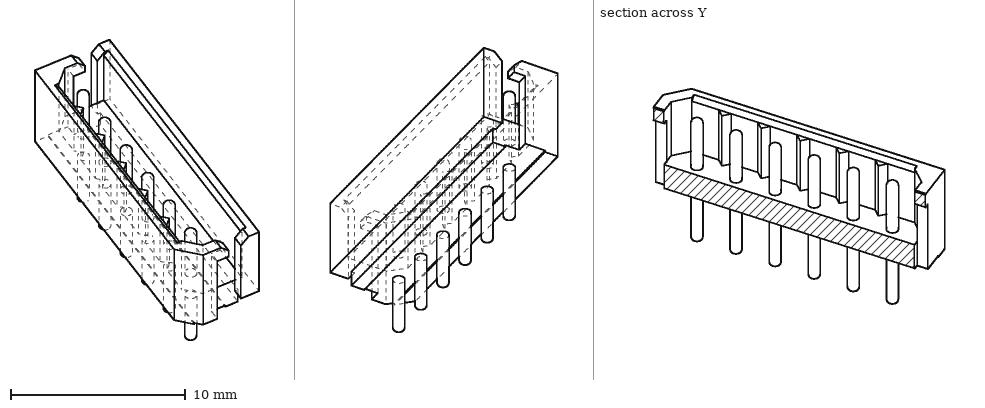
import cadquery as cq

length = 17.4
depth = 4.9
height = 5.9

end_wall = 0.7
front_wall = 0.7
floor_top = 1.9
floor_depth = 3.9
back_wall_inner = 4.14
back_wall_bottom = 1.0
back_lip_inner = 3.7
wall_bevel = 0.28
cavity_corner = 0.89
key_corner = 1.22

slot_front = 2.15
hook_tip = 2.9
hook_height = 1.0
entry_bevel = 0.5

channel_start = 0.85
channel_end = 3.06
channel_depth = 0.1

rib_width = 0.8
rib_depth = rib_width / 2

pin_count = 6
pin_row_span = 12.5
pin_diameter = 0.7
pin_y = 1.8
overall_height = 9.4
pin_tip_recess = 0.52
pin_rounding = 0.21

pin_pitch = pin_row_span / (pin_count - 1)
pin_top = height - pin_tip_recess
pin_bottom = height - overall_height
first_pin_x = (length - pin_row_span) / 2
inner_length = length - 2 * end_wall


def extrude_x(points, start, distance):
    """Extrude a (y, z) profile along X."""
    return cq.Workplane("YZ").workplane(offset=start).polyline(points).close().extrude(distance)


def extrude_z(points, bottom, top):
    """Extrude an (x, y) outline from one height up to another."""
    return cq.Workplane("XY").workplane(offset=bottom).polyline(points).close().extrude(top - bottom)


def make_body():
    """Full-length front and back walls, joined by the shorter floor."""
    front = extrude_x(
        [
            (0, 0),
            (slot_front, 0),
            (slot_front, height - hook_height),
            (hook_tip, height - hook_height),
            (hook_tip, height - entry_bevel),
            (hook_tip - entry_bevel, height),
            (0, height),
        ],
        0,
        length,
    )
    back = extrude_x(
        [
            (back_lip_inner, back_wall_bottom),
            (depth, back_wall_bottom),
            (depth, height),
            (back_lip_inner + entry_bevel, height),
            (back_lip_inner, height - entry_bevel),
        ],
        0,
        length,
    )
    floor = cq.Workplane("XY").box(inner_length, floor_depth, floor_top, centered=False)
    floor_joint = cq.Workplane("XY").box(
        inner_length, depth - floor_depth, floor_top - back_wall_bottom, centered=False
    )
    floor_joint = floor_joint.translate((0, floor_depth, back_wall_bottom))
    return front.union(back).union(floor.union(floor_joint).translate((end_wall, 0, 0)))


def make_cavity():
    """Open-topped cavity with angled front corners and beveled long edges."""
    left = end_wall
    right = length - end_wall
    cavity = extrude_z(
        [
            (left, back_wall_inner),
            (left, front_wall + cavity_corner),
            (left + cavity_corner, front_wall),
            (right - cavity_corner, front_wall),
            (right, front_wall + cavity_corner),
            (right, back_wall_inner),
        ],
        floor_top,
        height,
    )
    bevel_bottom = height - wall_bevel
    back_bevel = extrude_x(
        [
            (back_wall_inner, bevel_bottom),
            (back_wall_inner + wall_bevel, height),
            (back_wall_inner, height),
        ],
        left,
        inner_length,
    )
    front_bevel = extrude_x(
        [
            (front_wall, bevel_bottom),
            (front_wall - wall_bevel, height),
            (front_wall, height),
        ],
        left + cavity_corner,
        inner_length - 2 * cavity_corner,
    )
    return cavity.union(back_bevel).union(front_bevel)


def make_key_corner():
    """Corner removed over the full height to mark the housing's orientation."""
    return extrude_z(
        [(length - key_corner, 0), (length, 0), (length, key_corner)],
        0,
        height,
    )


def make_channel():
    channel_width = channel_end - channel_start
    channel = cq.Workplane("XY").box(length, channel_width, channel_depth, centered=False)
    return channel.translate((0, channel_start, 0))


def make_rib(center_x):
    """Triangular rib rising from the floor to the foot of the front bevel."""
    return extrude_z(
        [
            (center_x - rib_width / 2, front_wall),
            (center_x + rib_width / 2, front_wall),
            (center_x, front_wall + rib_depth),
        ],
        floor_top,
        height - wall_bevel,
    )


def make_pin(center_x):
    """Round pin through the floor with rounded ends."""
    pin = cq.Workplane("XY").circle(pin_diameter / 2).extrude(pin_top - pin_bottom)
    pin = pin.edges("%CIRCLE").fillet(pin_rounding)
    return pin.translate((center_x, pin_y, pin_bottom))


result = make_body().cut(make_cavity()).cut(make_key_corner()).cut(make_channel())

for index in range(pin_count - 1):
    result = result.union(make_rib(first_pin_x + (index + 0.5) * pin_pitch))

for index in range(pin_count):
    result = result.union(make_pin(first_pin_x + index * pin_pitch))